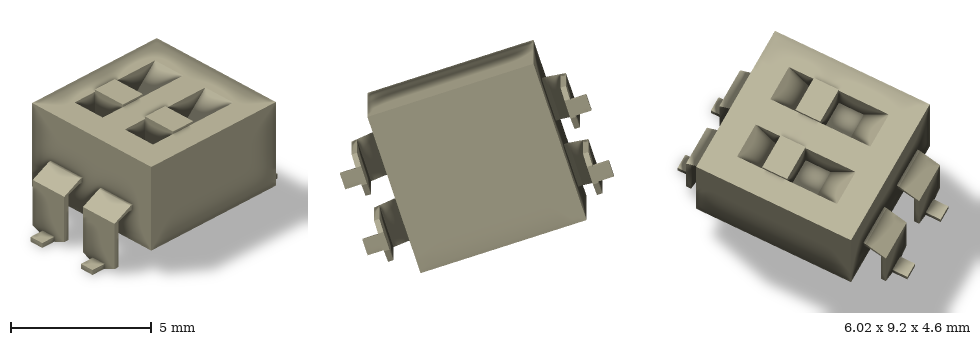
import cadquery as cq


position_count = 2
pitch = 2.54
position_xs = [(i - (position_count - 1) / 2) * pitch for i in range(position_count)]

housing_width = 6.02
housing_length = 6.2
housing_height = 3.5
standoff = 1.0
housing_top = standoff + housing_height

slot_width = 1.42
slot_floor_length = 2.0
slot_end_run = 1.0
slot_depth = 1.0
slot_floor = housing_top - slot_depth
slot_top_length = slot_floor_length + 2 * slot_end_run

knob_length = slot_floor_length / 2
knob_projection = 0.1
knob_height = slot_depth + knob_projection

overall_length = 9.2
lead_width = 1.59
lead_thickness = 0.2
foot_width = 0.59
foot_length = 0.6
tip_width = 0.68
upright_outer_y = overall_length / 2 - foot_length
upright_inner_y = upright_outer_y - lead_thickness
wall_y = housing_length / 2
shoulder_z = 2.1
lead_top_z = 2.5
lead_under_z = lead_top_z - lead_thickness
top_flat_length = 0.09
under_flat_length = 0.175


def make_slot(x):
    """Cutter for one slot, a trapezoid in the YZ plane."""
    half_floor = slot_floor_length / 2
    half_top = slot_top_length / 2
    return (
        cq.Workplane("YZ", origin=(x, 0, 0))
        .moveTo(-half_floor, slot_floor)
        .lineTo(half_floor, slot_floor)
        .lineTo(half_top, housing_top)
        .lineTo(-half_top, housing_top)
        .close()
        .extrude(slot_width / 2, both=True)
    )


def make_housing():
    body = (
        cq.Workplane("XY")
        .workplane(offset=standoff)
        .rect(housing_width, housing_length)
        .extrude(housing_height)
    )
    for x in position_xs:
        body = body.cut(make_slot(x))
    return body


def make_knob(x):
    """Rectangular knob standing on the slot floor and rising just above the housing."""
    return (
        cq.Workplane("XY", origin=(x, -knob_length / 2, slot_floor))
        .rect(slot_width, knob_length)
        .extrude(knob_height)
    )


def make_lead_strip():
    """Bent strip of the +Y lead: from the housing wall, sloping out, then straight down."""
    return (
        cq.Workplane("YZ")
        .moveTo(wall_y, lead_top_z)
        .lineTo(wall_y + top_flat_length, lead_top_z)
        .lineTo(upright_outer_y, shoulder_z)
        .lineTo(upright_outer_y, 0)
        .lineTo(upright_inner_y, 0)
        .lineTo(upright_inner_y, shoulder_z)
        .lineTo(wall_y + under_flat_length, lead_under_z)
        .lineTo(wall_y, lead_under_z)
        .close()
        .extrude(lead_width / 2, both=True)
    )


def make_lead_face():
    """Front outline of a lead, tapering to a narrow tip over the foot thickness."""
    return (
        cq.Workplane("XZ")
        .moveTo(-tip_width / 2, 0)
        .lineTo(tip_width / 2, 0)
        .lineTo(lead_width / 2, lead_thickness)
        .lineTo(lead_width / 2, lead_top_z)
        .lineTo(-lead_width / 2, lead_top_z)
        .lineTo(-lead_width / 2, lead_thickness)
        .close()
        .extrude(-overall_length / 2)
    )


def make_foot():
    """Narrow solder foot pointing outward from the bottom of the upright."""
    return (
        cq.Workplane("XY", origin=(0, upright_outer_y + foot_length / 2, 0))
        .rect(foot_width, foot_length)
        .extrude(lead_thickness)
    )


def make_lead(x, turn):
    """One lead, turned about Z to its side of the housing and moved to its position."""
    lead = make_lead_strip().intersect(make_lead_face()).union(make_foot())
    return lead.rotate((0, 0, 0), (0, 0, 1), turn).translate((x, 0, 0))


housing = make_housing()
knobs = [make_knob(x) for x in position_xs]
leads = [make_lead(x, turn) for x in position_xs for turn in (0, 180)]

result = cq.Compound.makeCompound(
    [
        housing.val(),
        *[knob.val() for knob in knobs],
        *[lead.val() for lead in leads],
    ]
)